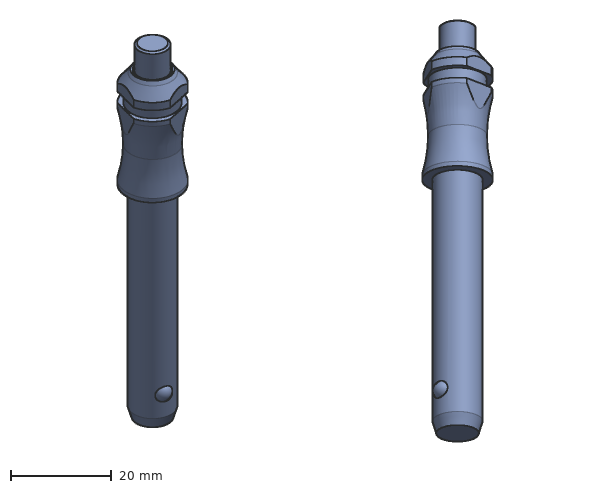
import cadquery as cq
import math

total_length = 87.7

shaft_radius = 5.0
tip_radius = 4.2
tip_chamfer_height = 2.6

handle_bottom = 54.6
handle_radius = 7.0
waist_radius = 5.9
waist_z = 64.1
lower_rim_height = 1.05
groove_bottom = 73.7
groove_top = 76.3
groove_radius = 5.8
upper_rim_height = 1.05

cap_band_height = 1.8
cap_top = 81.6
cap_step_height = 0.8
cap_shoulder_radius = 4.9
cap_top_radius = 4.4

button_radius = 3.6
button_chamfer_width = 0.5
button_chamfer_height = 0.35
button_gap = 0.35
button_gap_depth = 0.35

flat_distance = 6.1
flat_count = 3

ball_radius = 2.0
ball_reach = 6.05
ball_z = 8.0

lower_flare_z = handle_bottom + lower_rim_height
upper_flare_z = groove_bottom - upper_rim_height
cap_band_top = groove_top + cap_band_height


def flare_midpoint(flare_z):
    """Middle of the arc that leaves the waist parallel to the axis and meets the rim at flare_z."""
    rise = flare_z - waist_z
    spread = handle_radius - waist_radius
    arc_radius = (rise**2 + spread**2) / (2 * spread)
    half_angle = math.asin(rise / arc_radius) / 2
    radius = waist_radius + arc_radius * (1 - math.cos(half_angle))
    return radius, waist_z + arc_radius * math.sin(half_angle)


def revolve_about_axis(half_outline):
    return half_outline.close().revolve(360, (0, 0, 0), (0, 1, 0))


def make_shaft():
    outline = (
        cq.Workplane("XZ")
        .lineTo(tip_radius, 0)
        .lineTo(shaft_radius, tip_chamfer_height)
        .lineTo(shaft_radius, waist_z)
        .lineTo(0, waist_z)
    )
    return revolve_about_axis(outline)


def make_handle():
    """Waisted grip, ring groove and conical cap."""
    outline = (
        cq.Workplane("XZ")
        .moveTo(0, handle_bottom)
        .lineTo(handle_radius, handle_bottom)
        .lineTo(handle_radius, lower_flare_z)
        .threePointArc(flare_midpoint(lower_flare_z), (waist_radius, waist_z))
        .threePointArc(flare_midpoint(upper_flare_z), (handle_radius, upper_flare_z))
        .lineTo(handle_radius, groove_bottom)
        .lineTo(groove_radius, groove_bottom)
        .lineTo(groove_radius, groove_top)
        .lineTo(handle_radius, groove_top)
        .lineTo(handle_radius, cap_band_top)
        .lineTo(cap_shoulder_radius, cap_top - cap_step_height)
        .lineTo(cap_top_radius, cap_top)
        .lineTo(0, cap_top)
    )
    return revolve_about_axis(outline)


def cut_flats(body):
    """Equally spaced flats from the waist up to the cap, the first one facing -Y."""
    flat_width = 2 * handle_radius
    flat_height = cap_top - waist_z
    for index in range(flat_count):
        cutter = (
            cq.Workplane("XY")
            .box(flat_width, handle_radius, flat_height, centered=(True, False, False))
            .translate((0, flat_distance, waist_z))
            .rotate((0, 0, 0), (0, 0, 1), 180 + index * 360 / flat_count)
        )
        body = body.cut(cutter)
    return body


def cut_button_gap(body):
    """Narrow clearance ring around the button in the cap's top face."""
    gap = (
        cq.Workplane("XY", origin=(0, 0, cap_top - button_gap_depth))
        .circle(button_radius + button_gap)
        .extrude(button_gap_depth)
    )
    return body.cut(gap)


def make_button():
    outline = (
        cq.Workplane("XZ")
        .moveTo(0, groove_top)
        .lineTo(button_radius, groove_top)
        .lineTo(button_radius, total_length - button_chamfer_height)
        .lineTo(button_radius - button_chamfer_width, total_length)
        .lineTo(0, total_length)
    )
    return revolve_about_axis(outline)


def make_locking_balls():
    """Two balls protruding from opposite sides of the shaft along X."""
    ball_offset = ball_reach - ball_radius
    centers = [(-ball_offset, 0, ball_z), (ball_offset, 0, ball_z)]
    return cq.Workplane("XY").pushPoints(centers).sphere(ball_radius)


handle = cut_button_gap(cut_flats(make_handle()))
result = make_shaft().union(handle).union(make_button()).union(make_locking_balls())